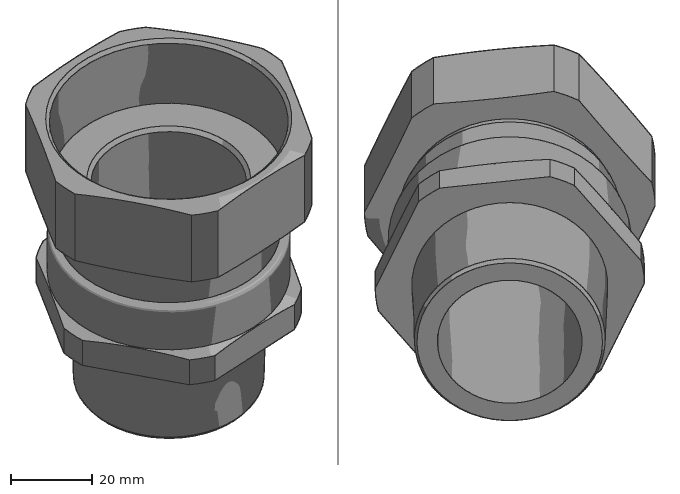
import cadquery as cq
import math

thread_top = 26.0
hex_top = 35.0
collar_top = 48.2
sleeve_top = 58.2
neck_top = 61.2
flange_bottom = 62.8
socket_floor = 64.45
overall_height = 84.25

thread_tip_radius = 23.46
thread_root_radius = 24.1
thread_chamfer_height = 1.0
thread_chamfer_width = 0.7
body_hex_flats = 60.3
body_hex_corner_radius = 33.1
body_hex_drop = 0.85
collar_radius = 29.9
collar_fillet = 1.2
sleeve_radius = 27.5
bore_tip_radius = 17.8
bore_radius = 19.1
bore_chamfer = 1.0
spigot_radius = 23.2

neck_radius = 26.5
nut_flats = 65.0
nut_corner_radius = 35.76
nut_face_radius = 32.2
nut_top_drop = 0.85
nut_bottom_drop = 0.6
socket_floor_radius = 28.65
socket_rim_radius = 29.3
mouth_chamfer = 0.9


def revolve_profile(points):
    """Revolve a closed (radius, height) outline about the Z axis."""
    return cq.Workplane("XZ").polyline(points).close().revolve(360, (0, 0), (0, 1))


def hexagon(bottom, top, flats, corner_radius, face_radius, top_drop, bottom_drop):
    """Hexagon with flats facing X, rounded corners and conically relieved faces."""
    height = top - bottom
    point_diameter = flats / math.cos(math.pi / 6)
    prism = cq.Workplane("XY").polygon(6, point_diameter).extrude(height)
    prism = prism.rotate((0, 0, 0), (0, 0, 1), 30).translate((0, 0, bottom))
    outline = [(0, bottom)]
    if bottom_drop > 0:
        outline.append((face_radius, bottom))
    outline += [
        (corner_radius, bottom + bottom_drop),
        (corner_radius, top - top_drop),
        (face_radius, top),
        (0, top),
    ]
    return prism.intersect(revolve_profile(outline))


def make_lower_body():
    thread = revolve_profile([
        (0, 0),
        (thread_tip_radius - thread_chamfer_width, 0),
        (thread_tip_radius, thread_chamfer_height),
        (thread_root_radius, thread_top),
        (0, thread_top),
    ])
    grip = hexagon(
        thread_top, hex_top, body_hex_flats, body_hex_corner_radius,
        collar_radius, body_hex_drop, 0,
    )
    collar = cq.Workplane("XY").workplane(offset=hex_top).circle(collar_radius)
    collar = collar.extrude(collar_top - hex_top).faces(">Z").edges().fillet(collar_fillet)
    sleeve = cq.Workplane("XY").workplane(offset=collar_top).circle(sleeve_radius)
    sleeve = sleeve.extrude(sleeve_top - collar_top)
    spigot = revolve_profile([
        (0, sleeve_top),
        (spigot_radius, sleeve_top),
        (spigot_radius, flange_bottom),
        (socket_floor_radius, flange_bottom),
        (socket_floor_radius, socket_floor),
        (0, socket_floor),
    ])
    bore = revolve_profile([
        (0, 0),
        (bore_tip_radius, 0),
        (bore_radius, socket_floor - bore_chamfer),
        (bore_radius + bore_chamfer, socket_floor),
        (0, socket_floor),
    ])
    return thread.union(grip).union(collar).union(sleeve).union(spigot).cut(bore)


def make_upper_body():
    neck = cq.Workplane("XY").workplane(offset=sleeve_top).circle(neck_radius)
    neck = neck.extrude(neck_top - sleeve_top)
    nut = hexagon(
        neck_top, overall_height, nut_flats, nut_corner_radius,
        nut_face_radius, nut_top_drop, nut_bottom_drop,
    )
    cavity = revolve_profile([
        (0, sleeve_top),
        (spigot_radius, sleeve_top),
        (spigot_radius, flange_bottom),
        (socket_floor_radius, flange_bottom),
        (socket_floor_radius, socket_floor),
        (socket_rim_radius, overall_height - mouth_chamfer),
        (socket_rim_radius + mouth_chamfer, overall_height),
        (0, overall_height),
    ])
    return neck.union(nut).cut(cavity)


lower_body = make_lower_body()
upper_body = make_upper_body()
result = cq.Compound.makeCompound([lower_body.val(), upper_body.val()])